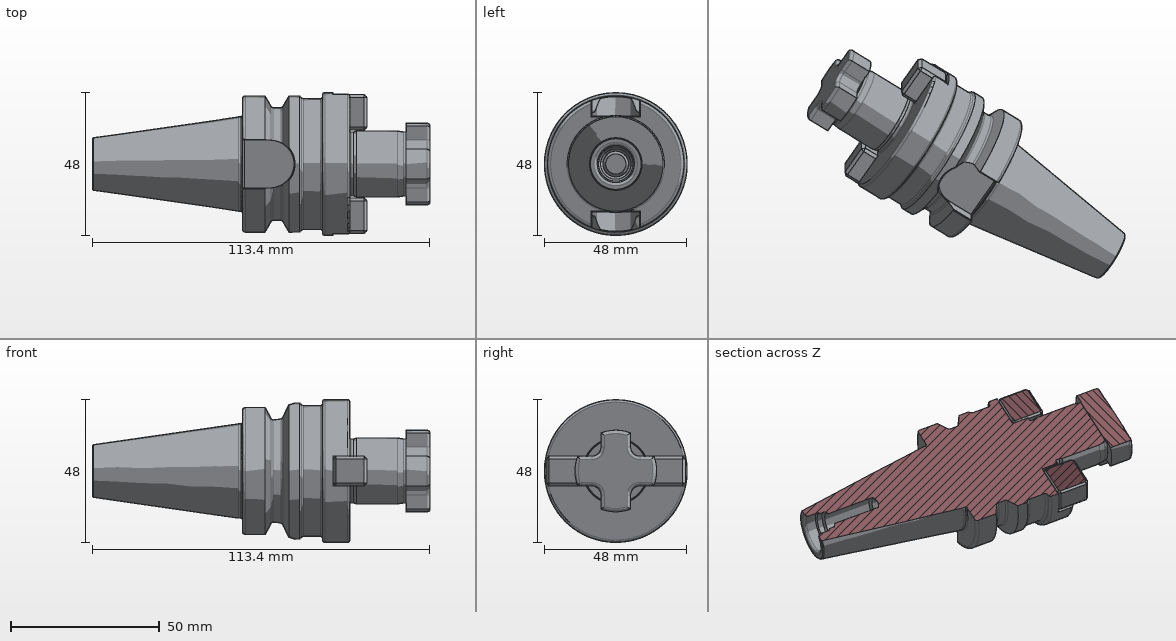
import cadquery as cq
import math

LENGTH = 113.4

TAPER_END_RADIUS = 8.8
GAUGE_RADIUS = 15.9
TAPER_LENGTH = 49.1
TAPER_END_CHAMFER = 0.3
SHANK_ROOT_ROUND = 0.5

FLANGE_BACK = 50.3
FLANGE_RADIUS = 22.9
FLANGE_EDGE_ROUND = 1.0
GROOVE_RADIUS = 18.9
GROOVE_START = 58.0
GROOVE_END = 66.0
GROOVE_WALL_ANGLE = 30.0
GROOVE_ROUND = 0.8
FLANGE_FRONT = 69.5
FLANGE_STEP_ROUND = 1.0

BODY_RADIUS = 22.0
BODY_ROUND = 0.7

COLLAR_BACK = 77.2
COLLAR_FRONT = 86.4
COLLAR_DIAMETER = 48.0
COLLAR_RADIUS = COLLAR_DIAMETER / 2
COLLAR_EDGE_ROUND = 0.8

SPIGOT_RADIUS = 11.1
SPIGOT_RELIEF_RADIUS = 10.8
RELIEF_ROUND = 0.3
RELIEF_END = 87.7
SPIGOT_START = 88.7
SPIGOT_LEAD_START = 102.4
SPIGOT_LEAD_END = 104.4
SPIGOT_END = 105.3

SLOT_WIDTH = 16.0
SLOT_HALF_WIDTH = SLOT_WIDTH / 2
SLOT_FLOOR = 16.1
SLOT_END = 67.7
SLOT_EDGE_BREAK = 0.3
SLOT_MOUTH_LENGTH = 0.7

BORE_RADIUS = 6.2
BORE_MOUTH_ROUND = 1.0
BORE_DEPTH = 4.4
ENTRY_RADIUS = 5.8
ENTRY_END = 6.7
THREAD_RADIUS = 5.1
THREAD_DEPTH = 23.8

SCREW_RADIUS = 4.3
SCREW_TIP = 27.2
SCREW_TIP_CHAMFER = 0.9
HEAD_RADIUS = 13.7
HEAD_EDGE_ROUND = 1.1
WING_HALF_WIDTH = 5.0
WING_ROOT_ROUND = 3.1

KEY_COUNT = 2
KEY_BACK = 80.7
KEY_FRONT = 92.2
KEY_WIDTH = 10.0
KEY_INNER = 11.3
KEY_OUTER = 23.4
KEY_CHAMFER = 1.0

TOLERANCE = 0.01


def revolve_about_x(outline):
    """Turn an outline of (x, radius) points about the X axis."""
    return outline.close().revolve(360, (0, 0, 0), (1, 0, 0))


def round_ring(body, x, radius, size):
    """Round the circular edge of the given radius at station x."""
    rings = [
        edge
        for edge in body.edges("%CIRCLE").vals()
        if abs(edge.Center().x - x) < TOLERANCE and abs(edge.radius() - radius) < TOLERANCE
    ]
    return body.newObject(rings).fillet(size)


def turned_blank():
    """Taper, grooved flange, collar and spigot as one turned shape."""
    groove_run = (FLANGE_RADIUS - GROOVE_RADIUS) * math.tan(math.radians(GROOVE_WALL_ANGLE))
    step_run = FLANGE_RADIUS - BODY_RADIUS
    blank = revolve_about_x(
        cq.Workplane("XZ").polyline([
            (0, 0),
            (0, TAPER_END_RADIUS - TAPER_END_CHAMFER),
            (TAPER_END_CHAMFER, TAPER_END_RADIUS),
            (TAPER_LENGTH, GAUGE_RADIUS),
            (FLANGE_BACK, GAUGE_RADIUS),
            (FLANGE_BACK, FLANGE_RADIUS),
            (GROOVE_START, FLANGE_RADIUS),
            (GROOVE_START + groove_run, GROOVE_RADIUS),
            (GROOVE_END - groove_run, GROOVE_RADIUS),
            (GROOVE_END, FLANGE_RADIUS),
            (FLANGE_FRONT, FLANGE_RADIUS),
            (FLANGE_FRONT + step_run, BODY_RADIUS),
            (COLLAR_BACK, BODY_RADIUS),
            (COLLAR_BACK, COLLAR_RADIUS),
            (COLLAR_FRONT, COLLAR_RADIUS),
            (COLLAR_FRONT, SPIGOT_RELIEF_RADIUS),
            (RELIEF_END, SPIGOT_RELIEF_RADIUS),
            (SPIGOT_START, SPIGOT_RADIUS),
            (SPIGOT_LEAD_START, SPIGOT_RADIUS),
            (SPIGOT_LEAD_END, SPIGOT_RELIEF_RADIUS),
            (SPIGOT_END, SPIGOT_RELIEF_RADIUS),
            (SPIGOT_END, 0),
        ])
    )
    blank = round_ring(blank, FLANGE_BACK, GAUGE_RADIUS, SHANK_ROOT_ROUND)
    blank = round_ring(blank, FLANGE_BACK, FLANGE_RADIUS, FLANGE_EDGE_ROUND)
    blank = round_ring(blank, GROOVE_START + groove_run, GROOVE_RADIUS, GROOVE_ROUND)
    blank = round_ring(blank, GROOVE_END - groove_run, GROOVE_RADIUS, GROOVE_ROUND)
    blank = round_ring(blank, FLANGE_FRONT + step_run, BODY_RADIUS, FLANGE_STEP_ROUND)
    blank = round_ring(blank, COLLAR_BACK, BODY_RADIUS, BODY_ROUND)
    blank = round_ring(blank, COLLAR_BACK, COLLAR_RADIUS, COLLAR_EDGE_ROUND)
    blank = round_ring(blank, COLLAR_FRONT, COLLAR_RADIUS, COLLAR_EDGE_ROUND)
    return round_ring(blank, COLLAR_FRONT, SPIGOT_RELIEF_RADIUS, RELIEF_ROUND)


def axial_bore():
    """Mouth, thread entry cone, thread bore and the through hole for the screw."""
    return revolve_about_x(
        cq.Workplane("XZ").polyline([
            (0, 0),
            (0, BORE_RADIUS),
            (BORE_DEPTH, BORE_RADIUS),
            (BORE_DEPTH + BORE_RADIUS - ENTRY_RADIUS, ENTRY_RADIUS),
            (ENTRY_END, ENTRY_RADIUS),
            (ENTRY_END + ENTRY_RADIUS - THREAD_RADIUS, THREAD_RADIUS),
            (THREAD_DEPTH, THREAD_RADIUS),
            (THREAD_DEPTH + THREAD_RADIUS - SCREW_RADIUS, SCREW_RADIUS),
            (SPIGOT_END, SCREW_RADIUS),
            (SPIGOT_END, 0),
        ])
    )


def gripper_slot():
    """Slot cut into the top of the flange, open to the back with a round front end."""
    return (
        cq.Workplane("XY", origin=(0, 0, SLOT_FLOOR))
        .moveTo(FLANGE_BACK, -SLOT_HALF_WIDTH)
        .lineTo(SLOT_END - SLOT_HALF_WIDTH, -SLOT_HALF_WIDTH)
        .threePointArc((SLOT_END, 0), (SLOT_END - SLOT_HALF_WIDTH, SLOT_HALF_WIDTH))
        .lineTo(FLANGE_BACK, SLOT_HALF_WIDTH)
        .close()
        .extrude(COLLAR_RADIUS - SLOT_FLOOR)
    )


def slot_mouth():
    """Flare that breaks the floor and side edges of the slot at the back face of the flange."""
    half_width = SLOT_HALF_WIDTH + SLOT_EDGE_BREAK
    floor = SLOT_FLOOR - SLOT_EDGE_BREAK
    back = cq.Workplane("YZ", origin=(FLANGE_BACK, 0, 0))
    return (
        back.center(0, (floor + COLLAR_RADIUS) / 2)
        .rect(2 * half_width, COLLAR_RADIUS - floor)
        .workplane(offset=SLOT_MOUTH_LENGTH)
        .center(0, SLOT_EDGE_BREAK / 2)
        .rect(2 * SLOT_HALF_WIDTH, COLLAR_RADIUS - SLOT_FLOOR)
        .loft(ruled=True)
    )


def break_slot_rims(holder):
    """Chamfer the slot edges that lie on the outer surface of the flange."""
    rims = []
    for edge in holder.edges().vals():
        middle = edge.positionAt(0.5)
        on_rim = abs(math.hypot(middle.y, middle.z) - FLANGE_RADIUS) < TOLERANCE
        in_slot = FLANGE_BACK < middle.x < SLOT_END + TOLERANCE and abs(middle.z) > SLOT_FLOOR
        at_end = middle.x > GROOVE_END + TOLERANCE
        at_side = abs(abs(middle.y) - SLOT_HALF_WIDTH) < TOLERANCE
        if on_rim and in_slot and (at_end or at_side):
            rims.append(edge)
    return holder.newObject(rims).chamfer(SLOT_EDGE_BREAK)


def key_block(outer):
    """Plain block from the key's inner face out to the given distance, on the +Y side."""
    return cq.Workplane("XY").box(
        KEY_FRONT - KEY_BACK, outer - KEY_INNER, KEY_WIDTH, centered=(False, False, True)
    ).translate((KEY_BACK, KEY_INNER, 0))


def turned_half_round(shape, index):
    """Copy of a shape turned about X by the given number of half turns."""
    return shape.rotate((0, 0, 0), (1, 0, 0), 180 * index)


def make_holder():
    """Turned blank with its bore, two gripper slots and the two key pockets."""
    holder = turned_blank().cut(axial_bore())
    holder = round_ring(holder, 0, BORE_RADIUS, BORE_MOUTH_ROUND)
    for index in range(KEY_COUNT):
        holder = holder.cut(turned_half_round(gripper_slot(), index))
    holder = break_slot_rims(holder)
    for index in range(KEY_COUNT):
        holder = holder.cut(turned_half_round(slot_mouth(), index))
        holder = holder.cut(turned_half_round(key_block(COLLAR_RADIUS), index))
    return holder


def make_drive_key(index):
    """Key block with every edge chamfered."""
    return turned_half_round(key_block(KEY_OUTER).edges().chamfer(KEY_CHAMFER), index)


def screw_head():
    """Cross-shaped head with rounded inner corners, round wing tips and a rounded front edge."""
    depth = LENGTH - SPIGOT_END
    base = cq.Workplane("YZ", origin=(SPIGOT_END, 0, 0))
    span = 2 * HEAD_RADIUS
    cross = base.rect(span, 2 * WING_HALF_WIDTH).extrude(depth)
    cross = cross.union(base.rect(2 * WING_HALF_WIDTH, span).extrude(depth))
    inner_corners = cq.selectors.BoxSelector(
        (SPIGOT_END, -HEAD_RADIUS / 2, -HEAD_RADIUS / 2),
        (LENGTH, HEAD_RADIUS / 2, HEAD_RADIUS / 2),
    )
    cross = cross.edges("|X").edges(inner_corners).fillet(WING_ROOT_ROUND)
    disc = base.circle(HEAD_RADIUS).extrude(depth)
    return cross.intersect(disc).faces(">X").edges().fillet(HEAD_EDGE_ROUND)


def make_retaining_screw():
    """Screw whose shank fills the through hole and whose head sits on the spigot end."""
    shank = (
        cq.Workplane("YZ", origin=(SCREW_TIP, 0, 0))
        .circle(SCREW_RADIUS)
        .extrude(SPIGOT_END - SCREW_TIP)
        .faces("<X")
        .chamfer(SCREW_TIP_CHAMFER)
    )
    return shank.union(screw_head())


holder = make_holder()
drive_keys = [make_drive_key(index) for index in range(KEY_COUNT)]
retaining_screw = make_retaining_screw()

result = cq.Compound.makeCompound([
    holder.solids().val(),
    *[key.solids().val() for key in drive_keys],
    retaining_screw.solids().val(),
])